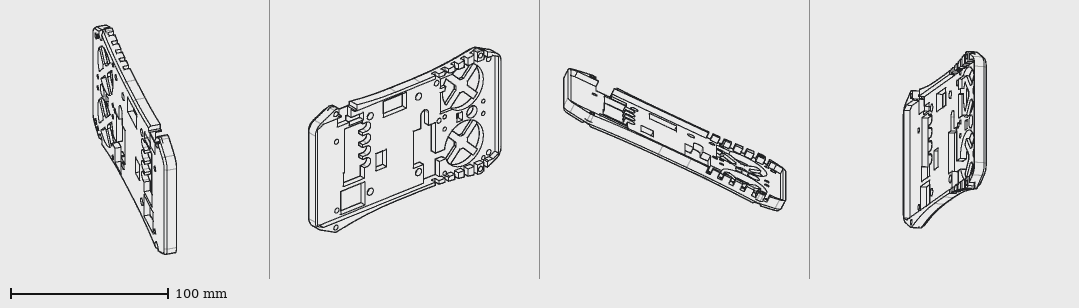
import cadquery as cq
import math

half_length = 77.1
thickness = 8.0
front_y = -thickness / 2
floor_thickness = 4.2
rim_depth = thickness - floor_thickness
wall = 2.0
cavity_half_height = 37.5
chamfer_depth = 1.7
chamfer_inset = 1.0

waist_half_length = 10.0
waist_half_height = 39.6
flank_radius = 246.7
ear_x = 60.1
ear_round = 3.4
corner_z = 36.4
corner_round = 8.2

screw_x = 60.0
screw_z = 41.2
screw_radius = 1.7
counterbore_radius = 3.2
counterbore_depth = 3.2

fan_x = -49.5
fan_z = 20.5
fan_radius = 16.0
grille_thickness = 2.0
spoke_width = 4.8
hub_half_width = 4.8
fan_screw_offset = 16.0
fan_screw_radius = 1.4

fan_channel_right = -30.0
fan_channel_heights = [(7.7, 23.1), (26.2, 33.2)]

notch_left, notch_right = 42.4, 57.4
notch_bottom = 38.4
socket_left, socket_right = 44.3, 55.4
socket_bottom = 28.5
socket_skin = 0.5

clear_height = 46.3

slot_width = 3.0
slot_pitch = 8.0
slot_count = 6
first_slot_x = -64.1

finger_tip_x = 27.9
finger_root_x = 34.5
finger_width = 6.5
finger_pitch = 8.6
finger_count = 4
top_finger_z = 20.2
comb_right, comb_bottom, comb_top = 49.5, -16.5, 25.0
comb_foot_left, comb_foot_right, comb_foot_top = 33.2, 50.5, -6.8

mount_radius = 2.5
mount_centre_x, mount_centre_z = 8.2, -0.6
mount_half_length, mount_half_height = 20.0, 27.5

round_holes = [
    (-56.1, 0.0, 4.2),
    (-70.0, 33.6, 1.9),
    (-70.0, -34.2, 1.9),
    (-26.8, 31.3, 1.9),
    (-28.8, 3.2, 1.7),
    (56.3, 18.2, 1.7),
    (56.0, -31.9, 1.7),
]

windows = [
    (-48.1, -43.6, -3.1, 3.0),
    (-1.7, 17.5, 22.0, 33.6),
    (33.8, 45.5, 26.2, 31.5),
    (14.6, 23.5, -14.6, -2.2),
    (32.7, 52.7, -36.1, -19.3),
]

bay_top = 3.0
bay_rectangles = [
    (-25.8, -7.7, -23.9, bay_top),
    (-29.0, -16.0, -cavity_half_height, -19.3),
    (-40.1, -25.8, -26.4, -19.3),
]
bay_finger_x = -17.0
bay_finger_top = 15.3


def at_depth(depth):
    """Sketch plane facing -Y, set the given distance behind the front face."""
    return cq.Workplane("XZ", origin=(0, front_y + depth, 0))


def block(left, right, bottom, top, start=0.0, end=thickness):
    """Box between two depths behind the front face."""
    return (
        at_depth(end)
        .center((left + right) / 2, (bottom + top) / 2)
        .rect(right - left, top - bottom)
        .extrude(end - start)
    )


def cylinder(x, z, radius, start=0.0, end=thickness):
    return at_depth(end).center(x, z).circle(radius).extrude(end - start)


def flank_point(x):
    """Point on the upper right flank arc, which leaves the waist tangentially."""
    run = x - waist_half_length
    return x, waist_half_height + flank_radius - math.sqrt(flank_radius**2 - run**2)


def body_outline(depth):
    """Closed outline with sharp ears and corners."""
    ear = flank_point(ear_x)
    middle = flank_point((waist_half_length + ear_x) / 2)
    return (
        at_depth(depth)
        .moveTo(-waist_half_length, waist_half_height)
        .lineTo(waist_half_length, waist_half_height)
        .threePointArc(middle, ear)
        .lineTo(half_length, corner_z)
        .lineTo(half_length, -corner_z)
        .lineTo(ear[0], -ear[1])
        .threePointArc((middle[0], -middle[1]), (waist_half_length, -waist_half_height))
        .lineTo(-waist_half_length, -waist_half_height)
        .threePointArc((-middle[0], -middle[1]), (-ear[0], -ear[1]))
        .lineTo(-half_length, -corner_z)
        .lineTo(-half_length, corner_z)
        .lineTo(-ear[0], ear[1])
        .threePointArc((-middle[0], middle[1]), (-waist_half_length, waist_half_height))
        .close()
    )


def edges_at(x, z):
    """Selector for the front-to-back edge at an outline corner."""
    reach = 1.5
    return cq.selectors.BoxSelector((x - reach, -thickness, z - reach), (x + reach, thickness, z + reach))


def solid_body():
    """Full-depth body with rounded outline corners and a chamfered front edge."""
    body = body_outline(thickness).extrude(thickness)
    ear_z = flank_point(ear_x)[1]
    for sx in (-1, 1):
        for sz in (-1, 1):
            body = body.edges("|Y").edges(edges_at(sx * ear_x, sz * ear_z)).fillet(ear_round)
            body = body.edges("|Y").edges(edges_at(sx * half_length, sz * corner_z)).fillet(corner_round)
    return body.faces("<Y").chamfer(chamfer_depth, chamfer_inset)


def cavity():
    """Space behind the floor, inset from the outline and cut flat at top and bottom."""
    inset = body_outline(thickness).offset2D(-wall, "intersection").extrude(rim_depth)
    limit = block(-half_length, half_length, -cavity_half_height, cavity_half_height, floor_thickness)
    return inset.intersect(limit)


def fan_opening(z):
    """Round opening crossed by a thin front grille, with its four screw holes."""
    grille = block(-hub_half_width, hub_half_width, -hub_half_width, hub_half_width, 0, grille_thickness)
    for angle in (45, -45):
        spoke = block(-fan_radius * 2, fan_radius * 2, -spoke_width / 2, spoke_width / 2, 0, grille_thickness)
        grille = grille.union(spoke.rotate((0, 0, 0), (0, 1, 0), angle))
    opening = cylinder(fan_x, z, fan_radius).cut(grille.translate((fan_x, 0, z)))
    for sx in (-1, 1):
        for sz in (-1, 1):
            screw = cylinder(fan_x + sx * fan_screw_offset, z + sz * fan_screw_offset, fan_screw_radius)
            opening = opening.union(screw)
    return opening


def fan_channels():
    channels = cq.Workplane("XZ")
    for bottom, top in fan_channel_heights:
        channels = channels.union(
            block(fan_x, fan_channel_right, bottom, top, grille_thickness, floor_thickness)
        )
    return channels


def comb_opening():
    opening = block(finger_root_x, comb_right, comb_bottom, comb_top)
    opening = opening.union(block(comb_foot_left, comb_foot_right, comb_bottom, comb_foot_top))
    radius = finger_width / 2
    centre_x = finger_tip_x + radius
    for i in range(finger_count):
        z = top_finger_z - i * finger_pitch
        opening = opening.union(cylinder(centre_x, z, radius))
        opening = opening.union(block(centre_x, finger_root_x, z - radius, z + radius))
    return opening


def bay_opening():
    radius = finger_width / 2
    centre_z = bay_finger_top - radius
    opening = cylinder(bay_finger_x, centre_z, radius)
    opening = opening.union(block(bay_finger_x - radius, bay_finger_x + radius, 0, centre_z))
    for rectangle in bay_rectangles:
        opening = opening.union(block(*rectangle))
    return opening


def ear_screw_hole(x, z):
    return cylinder(x, z, screw_radius).union(cylinder(x, z, counterbore_radius, 0, counterbore_depth))


def cable_slot(x):
    """Slot behind the floor that passes through both the top and bottom walls."""
    half_width = slot_width / 2
    return block(x - half_width, x + half_width, -clear_height, clear_height, floor_thickness)


result = solid_body().cut(cavity())

result = result.cut(bay_opening()).cut(comb_opening())
for window in windows:
    result = result.cut(block(*window))

for z in (-fan_z, fan_z):
    result = result.cut(fan_opening(z))
result = result.cut(fan_channels())

for x, z, radius in round_holes:
    result = result.cut(cylinder(x, z, radius))
for sx in (-1, 1):
    for sz in (-1, 1):
        mount_x = mount_centre_x + sx * mount_half_length
        mount_z = mount_centre_z + sz * mount_half_height
        result = result.cut(cylinder(mount_x, mount_z, mount_radius))
        result = result.cut(ear_screw_hole(sx * screw_x, sz * screw_z))

for i in range(slot_count):
    result = result.cut(cable_slot(first_slot_x + i * slot_pitch))

result = result.cut(block(notch_left, notch_right, notch_bottom, clear_height))
result = result.cut(block(socket_left, socket_right, socket_bottom, clear_height, socket_skin))